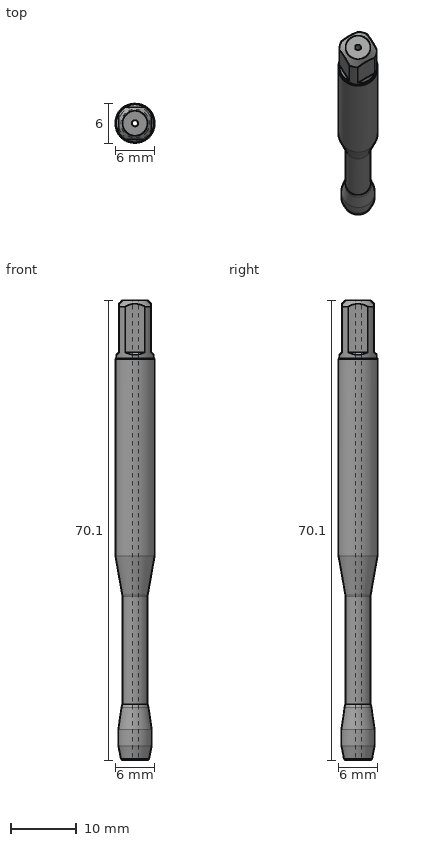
import cadquery as cq

length = 70.1
bore_diameter = 0.9

shank_diameter = 6.0
drive_diameter = 5.75
drive_flats = 4.9
drive_top_diameter = 3.8
neck_diameter = 3.85
shank_top = 61.1
taper_top = 31.2
taper_bottom = 25.25
taper_end_diameter = 3.9
taper_blend_height = 0.2
flat_bottom = 62.2

head_top = 8.55
head_shoulder = 8.1
head_shoulder_diameter = 4.15
head_diameter = 5.1
band_top = 4.8
band_bottom = 2.25
nose_height = 0.3
nose_diameter = 4.35
tip_diameter = 3.8


def turned_body(stations):
    """Revolve (diameter, height) stations about Z and bore the result through."""
    bottom = stations[0][1]
    top = stations[-1][1]
    outline = [(0, bottom)] + [(diameter / 2, z) for diameter, z in stations] + [(0, top)]
    body = cq.Workplane("XZ").polyline(outline).close().revolve(360, (0, 0), (0, 1))
    bore = cq.Workplane("XY").workplane(offset=bottom).circle(bore_diameter / 2).extrude(top - bottom)
    return body.cut(bore)


def flat_cutter():
    """Tool for one drive flat on +X, with a floor that slopes down outward at 45 degrees."""
    inner = drive_flats / 2
    outer = shank_diameter
    profile = [
        (inner, flat_bottom),
        (outer, flat_bottom - (outer - inner)),
        (outer, length),
        (inner, length),
    ]
    return cq.Workplane("XZ").polyline(profile).close().extrude(shank_diameter / 2, both=True)


def make_shank():
    top_chamfer = (drive_diameter - drive_top_diameter) / 2
    shoulder_chamfer = (shank_diameter - drive_diameter) / 2
    shank = turned_body([
        (neck_diameter, head_top),
        (neck_diameter, taper_bottom - taper_blend_height),
        (taper_end_diameter, taper_bottom),
        (shank_diameter, taper_top),
        (shank_diameter, shank_top),
        (drive_diameter, shank_top + shoulder_chamfer),
        (drive_diameter, length - top_chamfer),
        (drive_top_diameter, length),
    ])
    for side in range(4):
        shank = shank.cut(flat_cutter().rotate((0, 0, 0), (0, 0, 1), side * 90))
    return shank


def make_head():
    return turned_body([
        (tip_diameter, 0),
        (nose_diameter, nose_height),
        (head_diameter, band_bottom),
        (head_diameter, band_top),
        (head_shoulder_diameter, head_shoulder),
        (neck_diameter, head_top),
    ])


shank = make_shank()
head = make_head()
result = cq.Compound.makeCompound([shank.val(), head.val()])